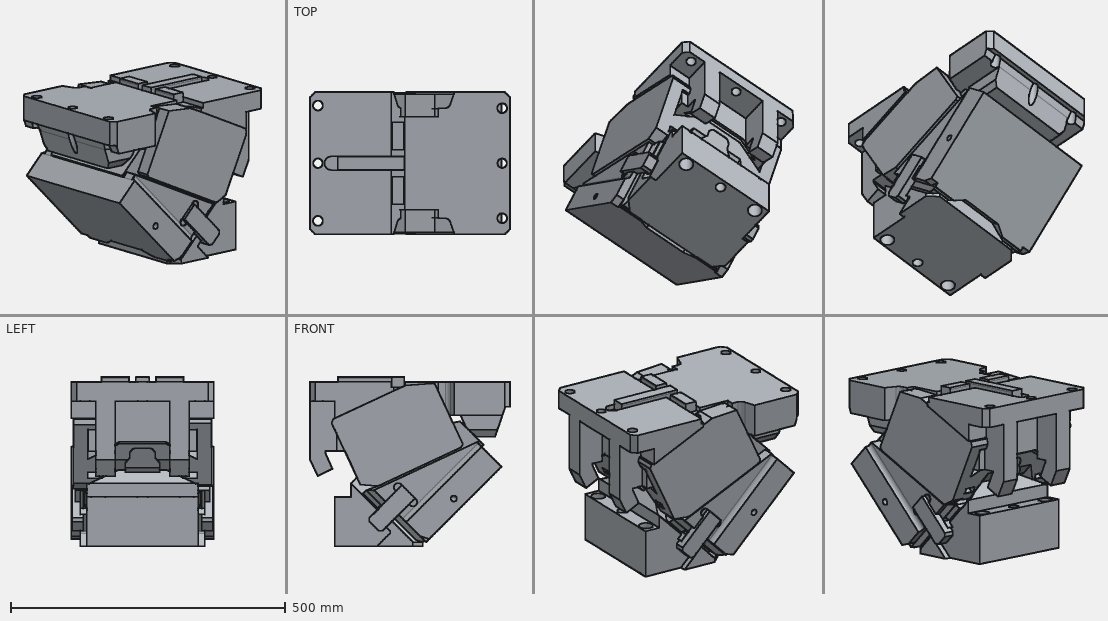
import cadquery as cq
import math

LENGTH = 365.0
WIDTH = 260.0
HALF_WIDTH = WIDTH / 2
TOP_Z = 300.0
KEY_TOP_Z = 309.0

TRAVEL_ANGLE = math.radians(25)
SLIDE_ORIGIN = (37.2, 230.0)

GUIDE_ANGLE = math.radians(-45)
GUIDE_ORIGIN = (75.0, 115.0)

ROOF_HALF_FLAT = 42.7
ROOF_V = -47.0
ROOF_FOOT_V = -78.0
CHANNEL_HALF = 99.5

CHEEK_LENGTH = 200.8
CHEEK_BOTTOM_V = -145.3
CHEEK_HALF = 126.0
NOSE_U = 6.0
NEAR_NOSE_V = -5.5
FAR_NOSE_V = -8.5
NEAR_HEEL_U = 28.0
NEAR_HEEL_V = -129.2
FAR_HEEL_U = 15.7
FAR_HEEL_V = -126.3
CREST_U = 150.7
REAR_CHAMFER_U = 6.0
REAR_CHAMFER_V = 3.5
HOOK_THICKNESS = 19.0
CORE_HALF = 122.3
WEDGE_GAP = 3.5
WEDGE_START_U = 16.8
WEDGE_END_U = 227.0
CORE_TOP_N = 221.0
CORE_TOP_START_D = 60.5
CORE_REAR = (200.8, -98.2)
SLIDE_FOOT_N = 11.0
SLIDE_SIDE_N = 21.0
FOOT_TOP_HALF = 113.0
FOOT_HALF = 107.5
SHOE_TOP_HALF = 106.5
SHOE_HALF = 102.2
SHOE_BOTTOM_N = 2.5
SHOE_END_D = 66.5
OVERHANG_N = 27.7
OVERHANG_END_D = -6.5
KEEL_BOTTOM_N = 22.5
KEEL_INSET = 0.7
KEEL_LENGTH = 73.0
POCKET_INNER_HALF = 78.5
POCKET_TOP_V = -104.8
POCKET_BOTTOM_V = -116.0
POCKET_FLOOR_D = 3.5
POCKET_TOP_N = 32.0
POCKET_BOTTOM_N = 17.5
SLIDE_START_D = 28.5
FACE_D = 172.5
FACE_BOTTOM_N = 29.2
TIP_START_D = 157.0
SLIDE_TIP = (168.0, 16.8)
FACE_PLATE_D = 121.0
FACE_PLATE_TOP_N = 215.7
FACE_PLATE_BLEND = 10.0

FOLLOWER_START_D = 68.0
FOLLOWER_END_D = 102.0
FOLLOWER_BOTTOM_N = -25.2
FOLLOWER_TOP_N = 63.5
FOLLOWER_INNER_HALF = 114.0
FOLLOWER_OUTER_HALF = 128.5
FOLLOWER_HOOK_HALF = 107.5
FOLLOWER_CHAMFER = 5.0
RELIEF_RADIUS = 7.5
RELIEF_DEPTH = 2.2
RELIEF_OVERHANG = 2.2
RELIEF_DROP = 7.5
PIN_HOLE_RADIUS = 5.5
PIN_HOLE_DEPTH = 18.2
PIN_HOLE_TIP = 3.3
PIN_HOLE_D = 152.2
PIN_HOLE_N = 113.0

DRIVER_LEFT = 45.3
DRIVER_RIGHT = 206.0
DRIVER_END_Z = 8.0
DRIVER_HALF = 101.5
LEDGE_Z = 90.5
DRIVER_ROOF_N = 35.5
DRIVER_ROOF_FOOT_HALF = 96.7
RAIL_HALF = 113.5
RAIL_TOP_N = 4.5
RAIL_BOTTOM_N = -11.0
RAIL_START_D = 68.5
FLANGE_START_D = 114.5
FLANGE_CORNER = 18.5
FLANGE_FILLET = 3.0
DRIVER_HOLE_X = 60.0
DRIVER_HOLE_Y = 80.3
DRIVER_HOLE_RADIUS = 12.8
DRIVER_MID_HOLE_RADIUS = 9.0

PLATE_BOTTOM_Z = 265.0
STEP_X = 45.3
REAR_BOTTOM_Z = 239.0
REAR_LIP_Z = 254.8
REAR_LIP_X = 356.5
REAR_BOTTOM_X = 351.0
PLATE_CHAMFER = 10.0
NECK_HALF = 85.0
FLANGE_HALF = 99.3
BLOCK_FRONT_X = 49.0
BLOCK_BOTTOM_Z = 173.7
WINDOW_HALF = 100.5
LEG_INNER_HALF = 50.0
LEG_HEEL_Z = 158.0
LEG_TOE_FRONT = (14.2, 128.5)
LEG_TOE_REAR = (41.2, 141.5)
LEG_THROAT_X = 28.5
LEG_THROAT_Z = 170.0
FRONT_RELIEF = 6.5
STOP_HALF = 91.0
STOP_BOTTOM_Z = 199.5
STOP_CHAMFER_WIDTH = 7.3
STOP_CHAMFER_HEIGHT = 12.8
STOP_RIGHT_X = 337.5
STOP_LEFT_X = 274.5
STOP_KNEE = (284.0, 218.3)
STOP_FOOT_X = 303.0
PLATE_HOLE_RADIUS = 8.8
PLATE_MID_HOLE_RADIUS = 8.5
PLATE_HOLE_INSET = 14.5
FRONT_HOLE_Y = 105.0
REAR_HOLE_Y = 100.5

KEYWAY_LEFT = 148.2
KEYWAY_RIGHT = 173.5
KEYWAY_DEPTH = 9.5
SIDE_KEY_LENGTH = 50.5
SIDE_KEY_Y = 49.5
KEY_GAP = 1.0
KEY_CHAMFER = 0.7
KEY_CHAMFER_HEIGHT = 2.5
LONG_KEY_LEFT = 51.0
LONG_KEY_WIDTH = 25.0
LONG_KEYWAY_LEFT = 26.5

FAR = 438.0
REACH = 219.0


def from_frame(origin, angle, along, across):
    """X and Z of a point given along and across a tilted frame."""
    x = origin[0] + along * math.cos(angle) - across * math.sin(angle)
    z = origin[1] + along * math.sin(angle) + across * math.cos(angle)
    return x, z


def slide_point(u, v):
    return from_frame(SLIDE_ORIGIN, TRAVEL_ANGLE, u, v)


def guide_point(d, n):
    return from_frame(GUIDE_ORIGIN, GUIDE_ANGLE, d, n)


def tilted_plane(origin, angle, start):
    """Plane square to a tilted frame: local x is Y, the normal runs along the frame."""
    x, z = from_frame(origin, angle, start, 0)
    return cq.Plane(origin=(x, 0, z), xDir=(0, 1, 0), normal=(math.cos(angle), 0, math.sin(angle)))


def prism(points, y_low, y_high):
    """Extrude an X-Z outline from y_low to y_high."""
    return cq.Workplane("XZ", origin=(0, y_high, 0)).polyline(points).close().extrude(y_high - y_low)


def along_guide(section, d_low, d_high):
    """Extrude a (y, n) section down the driver guide."""
    plane = tilted_plane(GUIDE_ORIGIN, GUIDE_ANGLE, d_low)
    return cq.Workplane(plane).polyline(section).close().extrude(d_high - d_low)


def along_travel(section, u_low, u_high):
    """Extrude a (y, v) section along the slide travel."""
    plane = tilted_plane(SLIDE_ORIGIN, TRAVEL_ANGLE, u_low)
    return cq.Workplane(plane).polyline(section).close().extrude(u_high - u_low)


def centred_prism(points, half):
    return prism(points, -half, half)


def both_sides(shape):
    """The shape together with its mirror image across the X-Z plane."""
    return shape.union(shape.mirror("XZ"))


def block(x_low, x_high, y_low, y_high, z_low, z_high):
    size = (x_high - x_low, y_high - y_low, z_high - z_low)
    return cq.Workplane("XY").box(*size, centered=False).translate((x_low, y_low, z_low))


def upright_hole(x, y, radius):
    return cq.Workplane("XY").center(x, y).circle(radius).extrude(FAR)


def roof_section(half_flat, top, foot_half, foot, base):
    """Flat-topped roof outline, sloping to its feet and then straight down to its base."""
    return [
        (-foot_half, base), (-foot_half, foot), (-half_flat, top),
        (half_flat, top), (foot_half, foot), (foot_half, base),
    ]


def key(x_low, x_high, y_low, y_high, chamfered_edges):
    body = block(x_low, x_high, y_low, y_high, TOP_Z - KEYWAY_DEPTH, KEY_TOP_Z)
    return body.faces(">Z").edges(chamfered_edges).chamfer(KEY_CHAMFER_HEIGHT, KEY_CHAMFER)


def locating_keys():
    """Long key down the middle and a cross key on each side of it, kept as one set."""
    key_right = KEYWAY_RIGHT - KEY_GAP
    keys = key(LONG_KEY_LEFT, key_right, -LONG_KEY_WIDTH / 2, LONG_KEY_WIDTH / 2, "|X")
    for side in (-1, 1):
        middle = side * SIDE_KEY_Y
        low = middle - SIDE_KEY_LENGTH / 2
        keys = keys.union(key(KEYWAY_LEFT + KEY_GAP, key_right, low, low + SIDE_KEY_LENGTH, "|Y"))
    return keys


def keyways():
    """Cross groove over the full width and a round-ended slot for the long key."""
    floor_z = TOP_Z - KEYWAY_DEPTH
    groove = block(KEYWAY_LEFT, KEYWAY_RIGHT, -HALF_WIDTH, HALF_WIDTH, floor_z, FAR)
    slot_end = LONG_KEYWAY_LEFT + LONG_KEY_WIDTH / 2
    slot = block(slot_end, KEYWAY_RIGHT, -LONG_KEY_WIDTH / 2, LONG_KEY_WIDTH / 2, floor_z, FAR)
    round_end = upright_hole(slot_end, 0, LONG_KEY_WIDTH / 2).translate((0, 0, floor_z))
    return groove.union(slot).union(round_end)


def plate():
    """Full-width plate, stepped down behind its front lip."""
    guide_end_x = slide_point(CHEEK_LENGTH, ROOF_FOOT_V)[0]
    outline = [
        (0, PLATE_BOTTOM_Z), (0, TOP_Z), (LENGTH, TOP_Z), (LENGTH, REAR_LIP_Z),
        (REAR_LIP_X, REAR_LIP_Z), (REAR_BOTTOM_X, REAR_BOTTOM_Z), (guide_end_x, REAR_BOTTOM_Z),
        (STEP_X, BLOCK_BOTTOM_Z), (STEP_X, PLATE_BOTTOM_Z),
    ]
    body = centred_prism(outline, HALF_WIDTH)
    corners = cq.Workplane("XY").rect(LENGTH, WIDTH).extrude(FAR).edges("|Z").chamfer(PLATE_CHAMFER)
    return body.intersect(corners.translate((LENGTH / 2, 0, 0)))


def upper_block():
    """Central block that carries the guide and the flanges held by the slide hooks."""
    slope = math.tan(TRAVEL_ANGLE)
    end_x, end_z = slide_point(CHEEK_LENGTH, ROOF_FOOT_V)
    start_x = end_x - (end_z - BLOCK_BOTTOM_Z) / slope
    outline = [
        (BLOCK_FRONT_X, TOP_Z - PLATE_CHAMFER), (BLOCK_FRONT_X, BLOCK_BOTTOM_Z), (start_x, BLOCK_BOTTOM_Z),
        (end_x, end_z), (end_x, TOP_Z - PLATE_CHAMFER),
    ]
    return centred_prism(outline, FLANGE_HALF)


def side_channels():
    """Room for the slide cheeks and for their inward hooks."""
    cheek = [
        slide_point(-REACH, 0), slide_point(CHEEK_LENGTH, 0),
        slide_point(CHEEK_LENGTH, -REACH), slide_point(-REACH, -REACH),
    ]
    hook = [
        slide_point(-REACH, 0), slide_point(CHEEK_LENGTH, 0),
        slide_point(CHEEK_LENGTH, -HOOK_THICKNESS), slide_point(-REACH, -HOOK_THICKNESS),
    ]
    channel = prism(cheek, FLANGE_HALF, HALF_WIDTH + 3.5).union(prism(hook, NECK_HALF, HALF_WIDTH + 3.5))
    return both_sides(channel)


def plate_windows():
    """Openings at both sides of the plate where the slide cheeks rise."""
    outline = (
        cq.Workplane("XY")
        .moveTo(152.5, HALF_WIDTH)
        .lineTo(159.0, 108.0)
        .threePointArc((161.7, 103.0), (166.0, WINDOW_HALF))
        .lineTo(166.0, NECK_HALF)
        .lineTo(234.5, NECK_HALF)
        .lineTo(234.5, WINDOW_HALF)
        .lineTo(246.5, WINDOW_HALF)
        .threePointArc((252.5, 102.5), (256.2, 108.0))
        .lineTo(263.5, HALF_WIDTH)
        .close()
    )
    return both_sides(outline.extrude(FAR).intersect(above_cheeks()))


def above_cheeks():
    """Everything over the underside of the slide hooks."""
    outline = [
        slide_point(-REACH, -HOOK_THICKNESS), slide_point(CHEEK_LENGTH, -HOOK_THICKNESS),
        slide_point(CHEEK_LENGTH, -REACH), (LENGTH, 0), (LENGTH, FAR), (-REACH, FAR),
    ]
    return centred_prism(outline, HALF_WIDTH)


def legs():
    """Two front legs with hooked toes, joined to the central block behind them."""
    outline = [
        (0, TOP_Z - PLATE_CHAMFER), (0, LEG_HEEL_Z), LEG_TOE_FRONT, LEG_TOE_REAR,
        (LEG_THROAT_X, LEG_THROAT_Z), (LEG_THROAT_X, BLOCK_BOTTOM_Z),
        (BLOCK_FRONT_X, BLOCK_BOTTOM_Z), (BLOCK_FRONT_X, TOP_Z - PLATE_CHAMFER),
    ]
    return both_sides(prism(outline, LEG_INNER_HALF, NECK_HALF))


def stop_block():
    """Rear stop under the plate, cut away to clear the top of the slide."""
    outline = [
        (STOP_LEFT_X, REAR_BOTTOM_Z), STOP_KNEE, (STOP_FOOT_X, STOP_BOTTOM_Z), (STOP_RIGHT_X, STOP_BOTTOM_Z),
        (REAR_BOTTOM_X, REAR_BOTTOM_Z),
    ]
    lower_edges = centred_prism(outline, STOP_HALF).faces("<Z").edges("|X")
    return lower_edges.chamfer(STOP_CHAMFER_WIDTH, STOP_CHAMFER_HEIGHT)


def plate_holes():
    """Upright mounting holes through the front and rear edges of the plate."""
    rear_x = LENGTH - PLATE_HOLE_INSET
    holes = upright_hole(PLATE_HOLE_INSET, 0, PLATE_MID_HOLE_RADIUS)
    holes = holes.union(upright_hole(rear_x, 0, PLATE_MID_HOLE_RADIUS))
    for side in (-1, 1):
        holes = holes.union(upright_hole(PLATE_HOLE_INSET, side * FRONT_HOLE_Y, PLATE_HOLE_RADIUS))
        holes = holes.union(upright_hole(rear_x, side * REAR_HOLE_Y, PLATE_HOLE_RADIUS))
    return holes


def make_upper():
    """Upper die body with its guide, legs, stop block and keys."""
    body = plate().union(upper_block())
    body = body.cut(block(STEP_X - 3.5, BLOCK_FRONT_X, -NECK_HALF, NECK_HALF, 0, PLATE_BOTTOM_Z))
    guide = roof_section(ROOF_HALF_FLAT, ROOF_V, CHANNEL_HALF, ROOF_FOOT_V, -REACH)
    body = body.cut(along_travel(guide, -REACH, CHEEK_LENGTH))
    relief = roof_section(
        ROOF_HALF_FLAT, ROOF_V + FRONT_RELIEF, CHANNEL_HALF, ROOF_FOOT_V + FRONT_RELIEF, -REACH
    )
    body = body.cut(along_travel(relief, -REACH, 0))
    flange_front_top = slide_point(0, -HOOK_THICKNESS)[1]
    body = body.cut(block(STEP_X - 3.5, BLOCK_FRONT_X, -HALF_WIDTH, HALF_WIDTH, 0, flange_front_top))
    body = body.cut(side_channels()).cut(plate_windows())
    body = body.union(legs()).union(stop_block())
    return body.cut(keyways()).union(locating_keys()).cut(plate_holes())


def cheek(y_low, y_high, nose_v, heel_u, heel_v):
    """Side plate of the slide, with its front corners cut at nose_v and from heel_v to heel_u."""
    outline = [
        slide_point(0, nose_v), slide_point(NOSE_U, 0), slide_point(CREST_U, 0),
        slide_point(CHEEK_LENGTH, -HOOK_THICKNESS),
        slide_point(CHEEK_LENGTH, CHEEK_BOTTOM_V + REAR_CHAMFER_V),
        slide_point(CHEEK_LENGTH - REAR_CHAMFER_U, CHEEK_BOTTOM_V),
        slide_point(heel_u, CHEEK_BOTTOM_V), slide_point(0, heel_v),
    ]
    below_hook = [
        slide_point(-REACH, -HOOK_THICKNESS), slide_point(FAR, -HOOK_THICKNESS),
        slide_point(FAR, -REACH), slide_point(-REACH, -REACH),
    ]
    return prism(outline, y_low, y_high).cut(centred_prism(below_hook, CHANNEL_HALF))


def cheeks():
    near = cheek(-CHEEK_HALF, -NECK_HALF, NEAR_NOSE_V, NEAR_HEEL_U, NEAR_HEEL_V)
    far = cheek(NECK_HALF, CHEEK_HALF, FAR_NOSE_V, FAR_HEEL_U, FAR_HEEL_V)
    return near.union(far)


def slide_core():
    """Middle of the slide, filling the channel up to the upper guide."""
    lower = [
        guide_point(CORE_TOP_START_D, CORE_TOP_N), guide_point(FACE_PLATE_D, CORE_TOP_N),
        guide_point(FACE_PLATE_D, FACE_PLATE_TOP_N), guide_point(FACE_D, FACE_PLATE_TOP_N),
        guide_point(FACE_D, FACE_BOTTOM_N), guide_point(*SLIDE_TIP), guide_point(TIP_START_D, SLIDE_FOOT_N),
        guide_point(SLIDE_START_D, SLIDE_FOOT_N),
    ]
    middle = [slide_point(0, ROOF_V), slide_point(CHEEK_LENGTH, ROOF_V), slide_point(*CORE_REAR)]
    middle = middle + lower + [slide_point(NEAR_HEEL_U, CHEEK_BOTTOM_V), slide_point(0, NEAR_HEEL_V)]
    guide = roof_section(ROOF_HALF_FLAT, ROOF_V, CHANNEL_HALF, ROOF_FOOT_V, -FAR)
    inner = centred_prism(middle, CHANNEL_HALF).intersect(along_travel(guide, -REACH, FAR))

    wedge_top = CHEEK_BOTTOM_V - WEDGE_GAP
    wedge = [slide_point(WEDGE_START_U, wedge_top), slide_point(WEDGE_END_U, wedge_top)] + lower[2:]
    outer = centred_prism(wedge, CORE_HALF)
    rear = [slide_point(*CORE_REAR), lower[0], lower[1], slide_point(WEDGE_END_U, wedge_top)]
    rear = rear + [slide_point(CHEEK_LENGTH, wedge_top)]
    return inner.union(outer).union(centred_prism(rear, CHANNEL_HALF))


def slide_under_cuts():
    """Groove over the driver roof and bevels along the lower edges of the slide."""
    groove = roof_section(ROOF_HALF_FLAT, DRIVER_ROOF_N, DRIVER_ROOF_FOOT_HALF, 0, -REACH)
    cut = along_guide(groove, OVERHANG_END_D, FAR)
    flare = (DRIVER_ROOF_FOOT_HALF - ROOF_HALF_FLAT) / DRIVER_ROOF_N
    overhang_half = ROOF_HALF_FLAT + flare * (DRIVER_ROOF_N - OVERHANG_N)
    overhang = roof_section(overhang_half, OVERHANG_N, DRIVER_ROOF_FOOT_HALF, 0, -REACH)
    cut = cut.union(along_guide(overhang, -REACH, OVERHANG_END_D))
    bevel = [
        (CORE_HALF, SLIDE_SIDE_N), (FOOT_TOP_HALF, SLIDE_SIDE_N), (FOOT_HALF, SLIDE_FOOT_N),
        (FOOT_HALF, 0), (CORE_HALF, 0),
    ]
    strip = along_guide(bevel, -REACH, FAR)
    corner = [
        guide_point(TIP_START_D, SLIDE_SIDE_N), guide_point(FACE_D, FACE_BOTTOM_N),
        guide_point(FACE_D, SLIDE_FOOT_N), guide_point(TIP_START_D, SLIDE_FOOT_N),
    ]
    return cut.union(both_sides(strip)).union(both_sides(prism(corner, FOOT_TOP_HALF, HALF_WIDTH)))


def face_plate():
    """Wide plate at the working face, blended into the slide by a hollow round."""
    step = HALF_WIDTH - CORE_HALF
    radius = (FACE_PLATE_BLEND ** 2 + step ** 2) / (2 * step)
    blend_start = FACE_PLATE_D - FACE_PLATE_BLEND
    half_turn = math.asin(FACE_PLATE_BLEND / radius) / 2
    blend_mid = (
        blend_start + radius * math.sin(half_turn),
        CORE_HALF + radius * (1 - math.cos(half_turn)),
    )
    start_x, start_z = guide_point(0, SLIDE_SIDE_N)
    section = cq.Plane(origin=(start_x, 0, start_z), xDir=(1, 0, -1), normal=(1, 0, 1))
    half = (
        cq.Workplane(section)
        .moveTo(blend_start, 0)
        .lineTo(blend_start, CORE_HALF)
        .threePointArc(blend_mid, (FACE_PLATE_D, HALF_WIDTH))
        .lineTo(FACE_D, HALF_WIDTH)
        .lineTo(FACE_D, 0)
        .close()
        .extrude(FACE_PLATE_TOP_N - SLIDE_SIDE_N)
    )
    return both_sides(half)


def follower():
    """Hooked strip that draws the slide back along the driver rail."""
    outline = [
        guide_point(FOLLOWER_START_D, FOLLOWER_TOP_N), guide_point(FOLLOWER_END_D, FOLLOWER_TOP_N),
        guide_point(FOLLOWER_END_D, FOLLOWER_BOTTOM_N + FOLLOWER_CHAMFER),
        guide_point(FOLLOWER_END_D - FOLLOWER_CHAMFER, FOLLOWER_BOTTOM_N),
        guide_point(FOLLOWER_START_D + FOLLOWER_CHAMFER, FOLLOWER_BOTTOM_N),
        guide_point(FOLLOWER_START_D, FOLLOWER_BOTTOM_N + FOLLOWER_CHAMFER),
    ]
    strip = prism(outline, FOLLOWER_HOOK_HALF, FOLLOWER_OUTER_HALF)
    rail_room = [
        guide_point(0, SLIDE_SIDE_N), guide_point(FACE_D, SLIDE_SIDE_N),
        guide_point(FACE_D, RAIL_BOTTOM_N), guide_point(0, RAIL_BOTTOM_N),
    ]
    return both_sides(strip.cut(prism(rail_room, 0, FOLLOWER_INNER_HALF)))


def side_hole(d, n, radius, y_low, y_high):
    x, z = guide_point(d, n)
    hole = cq.Workplane("XZ", origin=(0, y_high, 0)).center(x, z).circle(radius).extrude(y_high - y_low)
    return both_sides(hole)


def shoes():
    """Low strips beside the driver roof, ahead of the driver rails."""
    section = [
        (ROOF_HALF_FLAT, SLIDE_FOOT_N), (SHOE_TOP_HALF, SLIDE_FOOT_N),
        (SHOE_HALF, SHOE_BOTTOM_N), (ROOF_HALF_FLAT, SHOE_BOTTOM_N),
    ]
    return both_sides(along_guide(section, SLIDE_START_D, SHOE_END_D))


def keel():
    """Stub under the front overhang, level with the slide's front face."""
    section = [
        (-14.5, -56.2), (-18.2, -58.0), (-23.0, -64.2), (-23.0, -75.2), (-31.5, -86.0), (-31.5, -REACH),
    ]
    mirrored = [(-y, v) for y, v in reversed(section)]
    stub = along_travel(section + mirrored, KEEL_INSET, KEEL_INSET + KEEL_LENGTH)
    room = [
        guide_point(-REACH, KEEL_BOTTOM_N), guide_point(OVERHANG_END_D, KEEL_BOTTOM_N),
        guide_point(OVERHANG_END_D, REACH), guide_point(-REACH, REACH),
    ]
    recess = along_travel(section + mirrored, -REACH, KEEL_INSET)
    return stub.intersect(centred_prism(room, CHANNEL_HALF)), recess


def front_pockets():
    """Small pockets in the front face of the core, beside the cheeks."""
    outline = [
        slide_point(0, POCKET_TOP_V), guide_point(POCKET_FLOOR_D, POCKET_TOP_N),
        guide_point(POCKET_FLOOR_D, POCKET_BOTTOM_N), slide_point(0, POCKET_BOTTOM_V),
    ]
    return both_sides(prism(outline, POCKET_INNER_HALF, CHANNEL_HALF))


def pin_holes():
    """Blind drilled holes with pointed ends in the sides of the face plate."""
    x, z = guide_point(PIN_HOLE_D, PIN_HOLE_N)
    floor_y = HALF_WIDTH - PIN_HOLE_DEPTH
    floor_centre = cq.Vector(x, floor_y, z)
    tip = cq.Solid.makeCone(PIN_HOLE_RADIUS, 0, PIN_HOLE_TIP, pnt=floor_centre, dir=cq.Vector(0, -1, 0))
    hole = side_hole(PIN_HOLE_D, PIN_HOLE_N, PIN_HOLE_RADIUS, floor_y, HALF_WIDTH)
    return hole.union(both_sides(cq.Workplane(tip)))


def make_slide():
    """Cam slide that runs between the upper guide and the driver."""
    keel_stub, keel_recess = keel()
    body = slide_core().union(face_plate()).union(shoes()).cut(slide_under_cuts()).union(cheeks())
    body = body.cut(keel_recess).union(keel_stub).cut(front_pockets())
    relief_n = FOLLOWER_TOP_N - RELIEF_DROP
    for d in (FOLLOWER_START_D - RELIEF_OVERHANG, FOLLOWER_END_D + RELIEF_OVERHANG):
        body = body.cut(side_hole(d, relief_n, RELIEF_RADIUS, CORE_HALF - RELIEF_DEPTH, HALF_WIDTH))
    body = body.union(follower())
    return body.cut(pin_holes())


def make_driver():
    """Lower driver with its roof-shaped 45 degree guide, side rails and end flange."""
    corner_x, corner_z = GUIDE_ORIGIN
    guide_end = (corner_x + corner_z, 0)
    base = [(DRIVER_LEFT, 0), (DRIVER_LEFT, LEDGE_Z), (corner_x, LEDGE_Z), (corner_x, corner_z), guide_end]
    body = centred_prism(base, DRIVER_HALF)

    roof = roof_section(ROOF_HALF_FLAT, DRIVER_ROOF_N, DRIVER_ROOF_FOOT_HALF, 0, -DRIVER_ROOF_N)
    ridge = along_guide(roof, 0, FAR)

    rail_end_x = corner_x + corner_z + RAIL_TOP_N * math.sqrt(2) - DRIVER_END_Z
    flange_edge_x, flange_edge_z = guide_point(FLANGE_START_D, 0)
    flange_outline = [
        guide_point(RAIL_START_D, RAIL_TOP_N), (rail_end_x, DRIVER_END_Z),
        (DRIVER_RIGHT, DRIVER_END_Z), (DRIVER_RIGHT, 0),
        (flange_edge_x - flange_edge_z, 0),
        guide_point(FLANGE_START_D, RAIL_BOTTOM_N), guide_point(RAIL_START_D, RAIL_BOTTOM_N),
    ]
    flange = centred_prism(flange_outline, RAIL_HALF)
    flange_x, flange_z = guide_point(FLANGE_START_D, RAIL_BOTTOM_N)
    inner_corner = cq.selectors.NearestToPointSelector((flange_x, 0, flange_z))
    flange = flange.edges("|Y").edges(inner_corner).fillet(FLANGE_FILLET)
    plan = block(0, DRIVER_RIGHT, -RAIL_HALF, RAIL_HALF, 0, FAR).edges("|Z and >X").chamfer(FLANGE_CORNER)
    front_space = block(0, corner_x, -RAIL_HALF, RAIL_HALF, LEDGE_Z, FAR)
    body = body.union(ridge).union(flange).intersect(plan).cut(front_space)

    holes = upright_hole(DRIVER_HOLE_X, 0, DRIVER_MID_HOLE_RADIUS)
    for side in (-1, 1):
        holes = holes.union(upright_hole(DRIVER_HOLE_X, side * DRIVER_HOLE_Y, DRIVER_HOLE_RADIUS))
    return body.cut(holes.intersect(block(0, corner_x, -DRIVER_HALF, DRIVER_HALF, 0, LEDGE_Z)))


upper = make_upper()
slide = make_slide()
driver = make_driver()

result = cq.Compound.makeCompound([upper.val(), slide.val(), driver.val()])